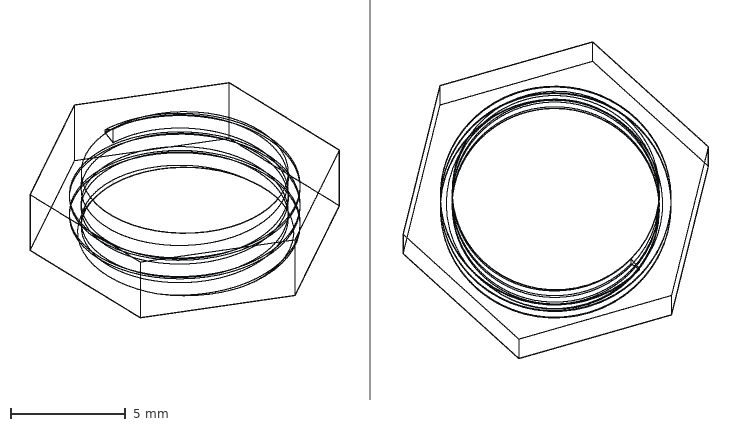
import cadquery as cq

across_corners = 13.86
thickness = 3.0
bore_radius = 4.5

pitch = thickness / 3
groove_width = 0.72
groove_depth = 0.51
root_width = 0.12
groove_turns = 3.5
start_lift = 0.1
overlap = 0.03


def make_hex_blank():
    return (
        cq.Workplane("XY")
        .polygon(6, across_corners)
        .extrude(thickness)
        .faces(">Z")
        .workplane()
        .hole(2 * bore_radius)
    )


def make_thread_cutter():
    """Trapezoidal section swept up a helix that starts about one pitch below the nut on +X."""
    inner_radius = bore_radius - overlap
    root_radius = bore_radius + groove_depth
    flank_slope = (groove_width - root_width) / (2 * groove_depth)
    half_mouth = groove_width / 2 + overlap * flank_slope
    half_root = root_width / 2
    helix = cq.Wire.makeHelix(pitch, pitch * groove_turns, bore_radius)
    section = cq.Workplane("XZ").polyline(
        [
            (inner_radius, -half_mouth),
            (root_radius, -half_root),
            (root_radius, half_root),
            (inner_radius, half_mouth),
        ]
    ).close()
    cutter = section.sweep(cq.Workplane(obj=helix), isFrenet=True)
    return cutter.translate((0, 0, start_lift - pitch))


result = make_hex_blank().cut(make_thread_cutter())